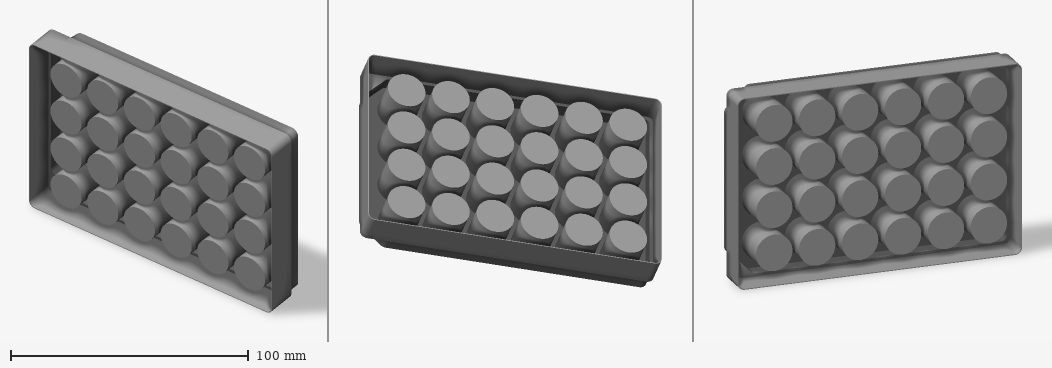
import cadquery as cq

LENGTH = 127.9
HEIGHT = 85.5
DEPTH = 20.1
WALL = 0.4

SKIRT_DEPTH = 13.5
CORNER_RADIUS = 3.1

CAP_INSET = 1.4
BEVEL = 10.2

COLUMNS = 6
ROWS = 4
PITCH = 19.3
WELL_DIAMETER = 16.4
WELL_SHIFT = 1.8
WELL_RECESS = 2.7

RIM_Y = -DEPTH / 2
STEP_Y = RIM_Y + SKIRT_DEPTH
TOP_Y = DEPTH / 2
WELL_BOTTOM_Y = RIM_Y + WELL_RECESS


def plane_at(y):
    """Workplane at the given Y with world X and Z as its axes; its normal is -Y."""
    return cq.Workplane("XZ", origin=(0, y, 0))


def skirt_outline():
    """Rounded rectangle of the lower tier, as a flat sketch."""
    return cq.Sketch().rect(LENGTH, HEIGHT).vertices().fillet(CORNER_RADIUS)


def cap_outline():
    """Rectangle of the upper tier with two bevels on the -X side and all corners rounded."""
    sketch = cq.Sketch().rect(LENGTH - 2 * CAP_INSET, HEIGHT - 2 * CAP_INSET)
    sketch = sketch.vertices("<X").chamfer(BEVEL).reset()
    return sketch.vertices().fillet(CORNER_RADIUS)


def block(outline, start_y, end_y):
    """Solid of the outline between two Y levels."""
    return plane_at(end_y).placeSketch(outline).extrude(end_y - start_y)


def tier_cavity(tier, depth):
    """Hollow of a tier: its outline moved in by one wall, sunk to the given depth."""
    return tier.faces("<Y").wires().toPending().offset2D(-WALL).extrude(-depth, combine=False)


def make_shell():
    """Two-tier shell, open towards -Y."""
    skirt = block(skirt_outline(), RIM_Y, STEP_Y)
    cap = block(cap_outline(), STEP_Y - WALL, TOP_Y)
    skirt_cavity = tier_cavity(skirt, SKIRT_DEPTH - WALL)
    cap_cavity = tier_cavity(cap, TOP_Y - STEP_Y)
    return skirt.union(cap).cut(skirt_cavity).cut(cap_cavity)


def make_wells():
    """Grid of plain cylinders hanging from the top wall of the cap."""
    grid = plane_at(TOP_Y).center(WELL_SHIFT, 0).rarray(PITCH, PITCH, COLUMNS, ROWS)
    return grid.circle(WELL_DIAMETER / 2).extrude(TOP_Y - WELL_BOTTOM_Y)


result = make_shell().union(make_wells())